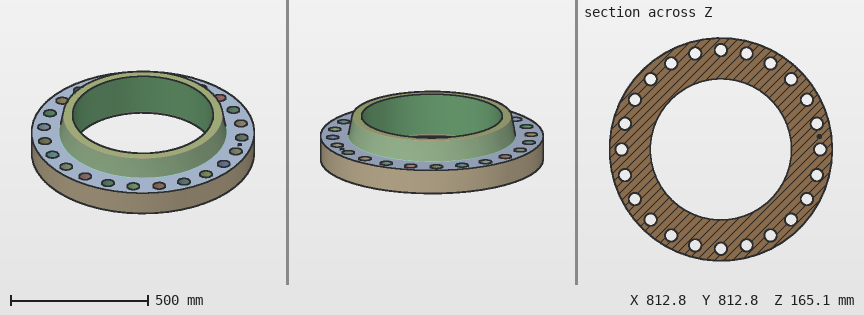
import cadquery as cq
import math

flange_diameter = 812.8
flange_thickness = 88.9

overall_height = 165.1
hub_base_diameter = 609.6
hub_top_diameter = 581.0
hub_base_fillet = 1.6
hub_top_fillet = 1.6

bore_diameter = 513.0
bore_mouth_fillet = 12.7

bolt_count = 24
bolt_circle_diameter = 723.9
bolt_hole_diameter = 44.45

pin_hole_diameter = 12.0
pin_hole_depth = 12.7
pilot_diameter = 5.5
pilot_depth = 25.4

tolerance = 0.001


def round_edge(body, edge_radius, height, fillet_radius):
    """Fillet the circular edge of the given radius that lies at the given height."""

    def is_wanted(edge):
        same_radius = math.isclose(edge.radius(), edge_radius, abs_tol=tolerance)
        same_height = math.isclose(edge.Center().z, height, abs_tol=tolerance)
        return same_radius and same_height

    return body.edges("%CIRCLE").filter(is_wanted).fillet(fillet_radius)


def hub_and_flange():
    """Revolve the section of the flange disc, the hub and the bore, then round its corners."""
    bore_radius = bore_diameter / 2
    flange_radius = flange_diameter / 2
    hub_base_radius = hub_base_diameter / 2
    hub_top_radius = hub_top_diameter / 2
    body = (
        cq.Workplane("XZ")
        .moveTo(bore_radius, 0)
        .lineTo(flange_radius, 0)
        .lineTo(flange_radius, flange_thickness)
        .lineTo(hub_base_radius, flange_thickness)
        .lineTo(hub_top_radius, overall_height)
        .lineTo(bore_radius, overall_height)
        .close()
        .revolve(360, (0, 0, 0), (0, 1, 0))
    )
    body = round_edge(body, bore_radius, 0, bore_mouth_fillet)
    body = round_edge(body, hub_base_radius, flange_thickness, hub_base_fillet)
    return round_edge(body, hub_top_radius, overall_height, hub_top_fillet)


def bolt_holes():
    """Cylinders for the full ring of bolt holes."""
    return (
        cq.Workplane("XY")
        .polarArray(bolt_circle_diameter / 2, 0, 360, bolt_count)
        .circle(bolt_hole_diameter / 2)
        .extrude(flange_thickness)
    )


def pin_hole():
    """Stepped blind hole on the bolt circle, sunk from the flange top face."""
    half_pitch = math.radians(360 / bolt_count / 2)
    bolt_circle_radius = bolt_circle_diameter / 2
    center_x = bolt_circle_radius * math.cos(half_pitch)
    center_y = bolt_circle_radius * math.sin(half_pitch)
    top = cq.Workplane("XY", origin=(center_x, center_y, flange_thickness))
    wide_part = top.circle(pin_hole_diameter / 2).extrude(-pin_hole_depth)
    narrow_part = top.circle(pilot_diameter / 2).extrude(-pilot_depth)
    return wide_part.union(narrow_part)


result = hub_and_flange().cut(bolt_holes()).cut(pin_hole())